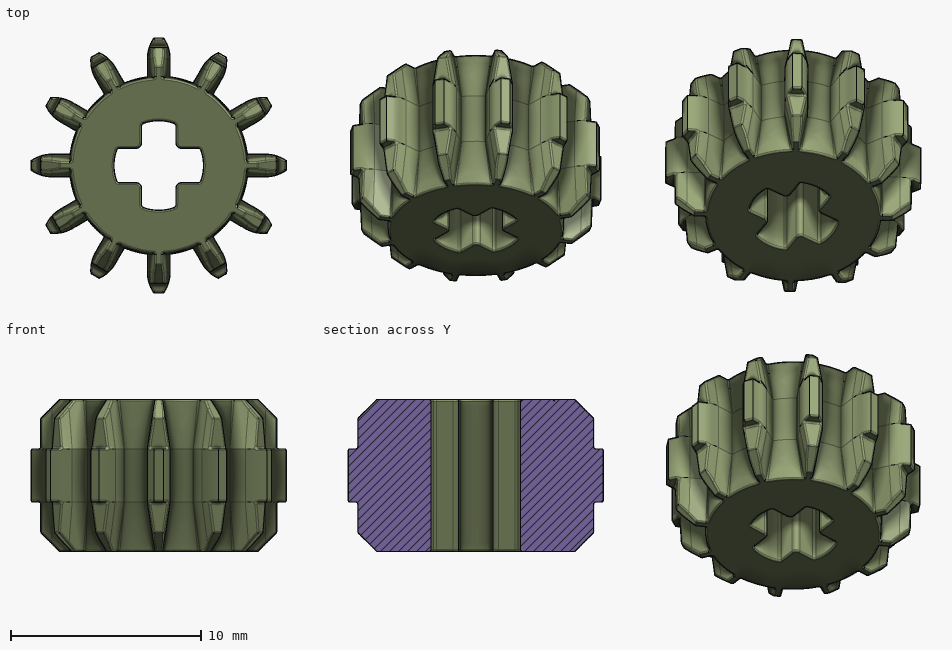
import math

import cadquery as cq

tooth_count = 12
height = 8.0
half_height = height / 2
tip_radius = 6.7

band_half_height = 1.4
root_radius = 4.7

tooth_half_width = 0.6
tip_half_width = 0.25
root_corner_fillet = 0.005
curve_start_radius = 5.6

flank_radius = 6.2
side_narrowing = 0.4
end_root_radius = 4.6
end_root_corner_fillet = 0.1
end_chamfer = 1.0

axle_radius = 2.35
axle_arm_half_width = 0.9
axle_inner_corner_fillet = 0.3
axle_outer_corner_fillet = 0.15

edge_fillet = 0.1

curve_run = tip_radius - curve_start_radius
curve_drop = tooth_half_width - tip_half_width
curve_radius = (curve_run**2 + curve_drop**2) / (2 * curve_drop)

selection_tolerance = 0.02


def distance_from_axis(edge):
    """Distance of an edge's centre from the Z axis."""
    center = edge.Center()
    return math.hypot(center.x, center.y)


def side_half_width(radius, narrowing):
    """Half-width of a tooth within its curved stretch."""
    run = radius - curve_start_radius
    drop = curve_radius - math.sqrt(curve_radius**2 - run**2)
    return tooth_half_width - narrowing - drop


def rising_side(core_radius, end_radius, narrowing, corner_fillet):
    """Points along the +Y side of the tooth on +X, from the core out to the tooth end."""
    straight = tooth_half_width - narrowing
    center_y = straight + corner_fillet
    center_distance = core_radius + corner_fillet
    center_x = math.sqrt(center_distance**2 - center_y**2)
    middle_radius = (curve_start_radius + end_radius) / 2

    shrink = core_radius / center_distance
    start = (center_x * shrink, center_y * shrink)
    toward_core = math.atan2(-center_y, -center_x)
    fillet_angle = (toward_core - math.pi / 2) / 2
    fillet_middle = (
        center_x + corner_fillet * math.cos(fillet_angle),
        center_y + corner_fillet * math.sin(fillet_angle),
    )
    fillet_end = (center_x, straight)

    curve_start = (curve_start_radius, straight)
    curve_middle = (middle_radius, side_half_width(middle_radius, narrowing))
    curve_end = (end_radius, side_half_width(end_radius, narrowing))
    return [start, fillet_middle, fillet_end, curve_start, curve_middle, curve_end]


def turned(point, angle):
    """Point turned about the origin."""
    x, y = point
    return (
        x * math.cos(angle) - y * math.sin(angle),
        x * math.sin(angle) + y * math.cos(angle),
    )


def gear_outline(workplane, core_radius, end_radius, narrowing, corner_fillet):
    """Closed outline of all the teeth and of the core between them."""
    side = rising_side(core_radius, end_radius, narrowing, corner_fillet)
    opposite_side = [(x, -y) for x, y in side]
    pitch = 2 * math.pi / tooth_count
    outline = workplane.moveTo(*opposite_side[0])
    for index in range(tooth_count):
        angle = index * pitch
        up = [turned(point, angle) for point in opposite_side]
        down = [turned(point, angle) for point in reversed(side)]
        gap_middle = turned((core_radius, 0), angle + pitch / 2)
        next_start = turned(opposite_side[0], angle + pitch)
        outline = (
            outline.threePointArc(up[1], up[2])
            .lineTo(*up[3])
            .threePointArc(up[4], up[5])
            .lineTo(*down[0])
            .threePointArc(down[1], down[2])
            .lineTo(*down[3])
            .threePointArc(down[4], down[5])
            .threePointArc(gap_middle, next_start)
        )
    return outline.close()


def make_band():
    """Upper half of the full-radius band."""
    outline = gear_outline(cq.Workplane("XY"), root_radius, tip_radius, 0, root_corner_fillet)
    return outline.extrude(band_half_height)


def make_tapered_end():
    """Upper end: slightly conical core with teeth that narrow toward the face."""
    base_plane = cq.Workplane("XY", origin=(0, 0, band_half_height))
    outlines = gear_outline(base_plane, root_radius, flank_radius, 0, root_corner_fillet)
    face_plane = outlines.workplane(offset=half_height - band_half_height)
    outlines = gear_outline(
        face_plane, end_root_radius, flank_radius, side_narrowing, end_root_corner_fillet
    )
    chamfer_envelope = (
        cq.Workplane("XZ")
        .lineTo(tip_radius, 0)
        .lineTo(tip_radius, half_height - end_chamfer - (tip_radius - flank_radius))
        .lineTo(flank_radius - end_chamfer, half_height)
        .lineTo(0, half_height)
        .close()
        .revolve(360, (0, 0, 0), (0, 1, 0))
    )
    return outlines.loft(ruled=True).intersect(chamfer_envelope)


def make_axle_hole():
    """Cross-shaped cutter with rounded lengthwise corners."""
    arm_length = 2 * axle_radius
    arm_width = 2 * axle_arm_half_width
    cross = (
        cq.Workplane("XY")
        .rect(arm_length, arm_width)
        .extrude(half_height)
        .union(cq.Workplane("XY").rect(arm_width, arm_length).extrude(half_height))
        .intersect(cq.Workplane("XY").circle(axle_radius).extrude(half_height))
    )
    inner = [edge for edge in cross.edges("|Z").vals() if distance_from_axis(edge) < arm_width]
    cross = cross.newObject(inner).fillet(axle_inner_corner_fillet)
    rim_limit = axle_radius - selection_tolerance
    outer = [edge for edge in cross.edges("|Z").vals() if distance_from_axis(edge) > rim_limit]
    return cross.newObject(outer).fillet(axle_outer_corner_fillet)


def round_edges(body):
    """Round the end-face outline, the tooth ends and the steps down from the band."""
    rounded = body.faces(">Z").edges().vals()
    cone_sum = flank_radius + half_height - end_chamfer
    for edge in body.edges().vals():
        center = edge.Center()
        radius = distance_from_axis(edge)
        above_band = center.z > band_half_height - selection_tolerance
        below_face = center.z < half_height - selection_tolerance
        on_flank = radius > flank_radius - selection_tolerance
        on_chamfer = radius + center.z > cone_sum - selection_tolerance
        if above_band and below_face and (on_flank or on_chamfer):
            rounded.append(edge)
    return body.newObject(rounded).fillet(edge_fillet)


upper_half = make_band().union(make_tapered_end()).cut(make_axle_hole())
upper_half = round_edges(upper_half)
whole = upper_half.union(upper_half.mirror("XY"))
result = cq.Workplane("XY").newObject([whole.solids().val()])